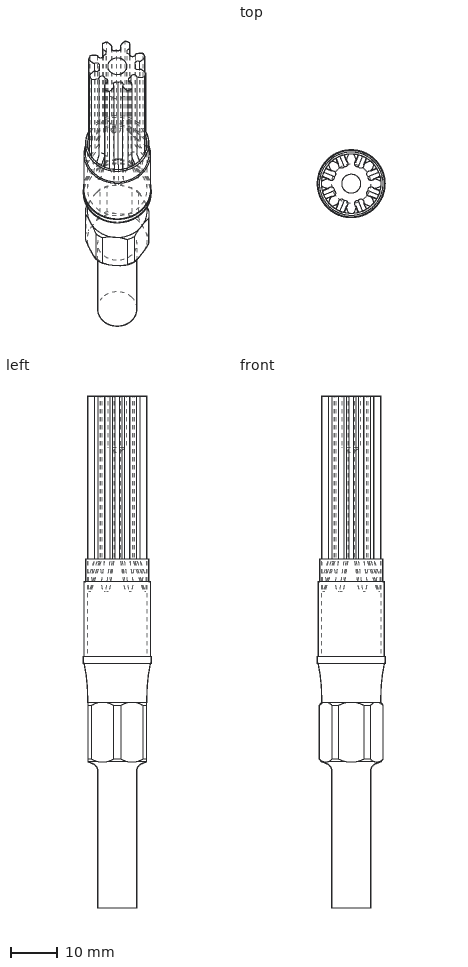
import cadquery as cq
import math


total_length = 109.8
shank_top = 29.1
hex_bottom = 31.0
neck_bottom = 44.1
neck_top = 45.1
shoulder_bottom = 52.5
sleeve_bottom = 54.0
sleeve_step = 70.1
sleeve_top = 74.9

shank_radius = 8.5 / 2
hex_underside_radius = 5.3
hex_corner_radius = 13.7 / 2
neck_radius = 6.4
taper_top_radius = 7.1
shoulder_radius = 14.6 / 2
spline_radius = 6.4

hex_across_flats = 12.6
hex_top_chamfer_height = 0.7
hex_bottom_chamfer_height = 0.5
hex_bottom_chamfer_width = 0.4
hex_underside_rise = 0.4

tooth_count = 8
tip_half_width = 0.49
tooth_shoulder = (4.8, 1.04)
tooth_neck = (4.1, 0.71)
flank_bulge = 0.1
groove_ridge_radius = 4.0
cut_margin = 1.1

runout_shift = 2.9
runout_angle = 70.0

bore_radius = 4.1 / 2
bore_depth = 11.0
drill_point_angle = 118.0

sleeve_radius = 7.1
collar_radius = 6.8

tooth_pitch = 360.0 / tooth_count


def spindle_blank():
    """Turned body of the spindle; the splined length is still a plain cylinder."""
    fillet_height = hex_bottom - shank_top
    fillet_width = hex_underside_radius - shank_radius
    fillet_middle = (
        shank_radius + fillet_width * (1 - math.cos(math.radians(45))),
        shank_top + fillet_height * math.sin(math.radians(45)),
    )
    chamfer_start = hex_bottom + hex_underside_rise
    outline = (
        cq.Workplane("XZ")
        .lineTo(shank_radius, 0)
        .lineTo(shank_radius, shank_top)
        .threePointArc(fillet_middle, (hex_underside_radius, hex_bottom))
        .lineTo(hex_corner_radius - hex_bottom_chamfer_width, chamfer_start)
        .lineTo(hex_corner_radius, chamfer_start + hex_bottom_chamfer_height)
        .lineTo(hex_corner_radius, neck_bottom - hex_top_chamfer_height)
        .lineTo(neck_radius, neck_bottom)
        .lineTo(neck_radius, neck_top)
        .tangentArcPoint((taper_top_radius, shoulder_bottom), relative=False)
        .lineTo(shoulder_radius, shoulder_bottom)
        .lineTo(shoulder_radius, sleeve_bottom)
        .lineTo(spline_radius, sleeve_bottom)
        .lineTo(spline_radius, total_length)
        .lineTo(0, total_length)
        .close()
    )
    return outline.revolve(360, (0, 0, 0), (0, 1, 0))


def hexagon_waste():
    """Material outside the six flats, over the height of the hexagon."""
    hex_height = neck_bottom - hex_bottom
    across_corners = hex_across_flats / math.cos(math.radians(30))
    return (
        cq.Workplane("XY", origin=(0, 0, hex_bottom))
        .circle(2 * shoulder_radius)
        .polygon(6, across_corners)
        .extrude(hex_height)
    )


def groove_outline():
    """Closed groove outline between two teeth, centred on the +X direction at the sleeve top."""
    half_pitch = math.radians(tooth_pitch / 2)

    def on_tooth(point, side):
        """Moves a point of the tooth profile to the tooth on the given side of the groove."""
        along, across = point
        angle = side * half_pitch
        sideways = -side * across
        return (
            along * math.cos(angle) - sideways * math.sin(angle),
            along * math.sin(angle) + sideways * math.cos(angle),
        )

    tip = (math.sqrt(spline_radius**2 - tip_half_width**2), tip_half_width)
    flank_middle = (
        (tip[0] + tooth_shoulder[0]) / 2,
        (tip[1] + tooth_shoulder[1]) / 2 + flank_bulge,
    )
    outside = (spline_radius + cut_margin, tip_half_width)
    ridge = (groove_ridge_radius, 0)
    return (
        cq.Workplane("XY", origin=(0, 0, sleeve_top))
        .moveTo(*on_tooth(outside, -1))
        .lineTo(*on_tooth(tip, -1))
        .threePointArc(on_tooth(flank_middle, -1), on_tooth(tooth_shoulder, -1))
        .threePointArc(on_tooth(tooth_neck, -1), ridge)
        .threePointArc(on_tooth(tooth_neck, 1), on_tooth(tooth_shoulder, 1))
        .threePointArc(on_tooth(flank_middle, 1), on_tooth(tip, 1))
        .lineTo(*on_tooth(outside, 1))
        .close()
    )


def groove_cutters():
    """One straight groove and one slanting runout below it, for every gap between teeth."""
    outline = groove_outline()
    straight = outline.extrude(total_length - sleeve_top).val()
    runout_drop = runout_shift * math.tan(math.radians(runout_angle))
    runout = cq.Solid.extrudeLinear(outline.val(), [], cq.Vector(runout_shift, 0, -runout_drop))
    axis_start = (0, 0, 0)
    axis_end = (0, 0, 1)
    cutters = []
    for index in range(tooth_count):
        angle = (index + 0.5) * tooth_pitch
        cutters.append(straight.rotate(axis_start, axis_end, angle))
        cutters.append(runout.rotate(axis_start, axis_end, angle))
    return cutters


def bore_cutter():
    """Drilled blind bore with a conical bottom."""
    point_height = bore_radius / math.tan(math.radians(drill_point_angle / 2))
    bore_bottom = total_length - bore_depth
    return (
        cq.Workplane("XZ")
        .moveTo(0, total_length)
        .lineTo(bore_radius, total_length)
        .lineTo(bore_radius, bore_bottom)
        .lineTo(0, bore_bottom - point_height)
        .close()
        .revolve(360, (0, 0, 0), (0, 1, 0))
    )


def make_spindle():
    spindle = spindle_blank().cut(hexagon_waste())
    for cutter in groove_cutters():
        spindle = spindle.cut(cq.Workplane(cutter))
    return spindle.cut(bore_cutter())


def make_sleeve():
    """Stepped sleeve resting on the spindle shoulder, bored to the spline diameter."""
    return (
        cq.Workplane("XY", origin=(0, 0, sleeve_bottom))
        .circle(sleeve_radius)
        .extrude(sleeve_step - sleeve_bottom)
        .faces(">Z")
        .workplane()
        .circle(collar_radius)
        .extrude(sleeve_top - sleeve_step)
        .faces(">Z")
        .workplane()
        .circle(spline_radius)
        .cutThruAll()
    )


spindle = make_spindle()
sleeve = make_sleeve()
result = cq.Compound.makeCompound([spindle.val(), sleeve.val()])